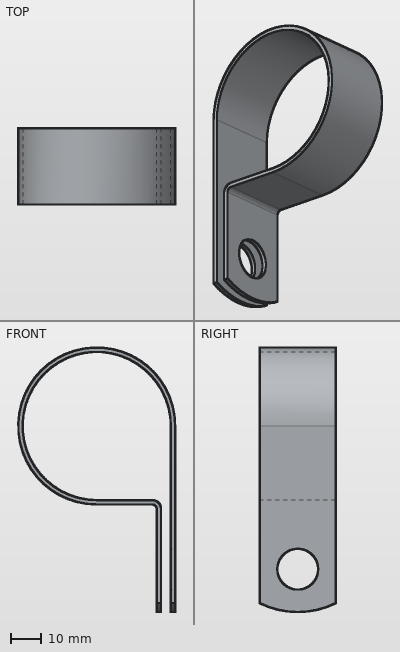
import cadquery as cq
import math

strap_width = 25.4
thickness = 1.524
loop_outer_radius = 52.25 / 2
tab_gap = 3.175
tab_drop = 61.895
bend_inner_radius = 1.45
tab_end_radius = 28.575
hole_diameter = 13.494
hole_to_tab_end = 14.2875

loop_inner_radius = loop_outer_radius - thickness
bend_outer_radius = bend_inner_radius + thickness
short_tab_outer_x = loop_inner_radius - tab_gap
short_tab_inner_x = short_tab_outer_x - thickness
bend_centre_x = short_tab_inner_x - bend_inner_radius
bend_centre_z = -loop_outer_radius - bend_inner_radius
half_width = strap_width / 2
tab_end_rise = tab_end_radius - math.sqrt(tab_end_radius**2 - half_width**2)
hole_z = -tab_drop + hole_to_tab_end


def on_bend(radius):
    """Middle point of the 90 degree bend at the given radius."""
    offset = radius * math.cos(math.pi / 4)
    return (bend_centre_x + offset, bend_centre_z + offset)


def on_loop(radius):
    """Middle point of the 270 degree loop at the given radius."""
    offset = radius * math.cos(math.pi / 4)
    return (-offset, offset)


def make_strap():
    """Bent strip: long tab, loop, flat floor, bend and short tab."""
    profile = (
        cq.Workplane("XZ")
        .moveTo(loop_outer_radius, -tab_drop)
        .lineTo(loop_outer_radius, 0)
        .threePointArc(on_loop(loop_outer_radius), (0, -loop_outer_radius))
        .lineTo(bend_centre_x, -loop_outer_radius)
        .threePointArc(on_bend(bend_inner_radius), (short_tab_inner_x, bend_centre_z))
        .lineTo(short_tab_inner_x, -tab_drop)
        .lineTo(short_tab_outer_x, -tab_drop)
        .lineTo(short_tab_outer_x, bend_centre_z)
        .threePointArc(on_bend(bend_outer_radius), (bend_centre_x, -loop_inner_radius))
        .lineTo(0, -loop_inner_radius)
        .threePointArc(on_loop(loop_inner_radius), (loop_inner_radius, 0))
        .lineTo(loop_inner_radius, -tab_drop)
        .close()
    )
    return profile.extrude(half_width, both=True)


def make_end_envelope():
    """Strap outline seen along X, with the convex lower end."""
    corner_z = -tab_drop + tab_end_rise
    outline = (
        cq.Workplane("YZ")
        .moveTo(-half_width, loop_outer_radius)
        .lineTo(-half_width, corner_z)
        .threePointArc((0, -tab_drop), (half_width, corner_z))
        .lineTo(half_width, loop_outer_radius)
        .close()
    )
    return outline.extrude(loop_outer_radius, both=True)


def make_bolt_hole():
    """Cylinder along X that pierces both tabs."""
    return (
        cq.Workplane("YZ")
        .center(0, hole_z)
        .circle(hole_diameter / 2)
        .extrude(loop_outer_radius, both=True)
    )


result = make_strap().intersect(make_end_envelope()).cut(make_bolt_hole())